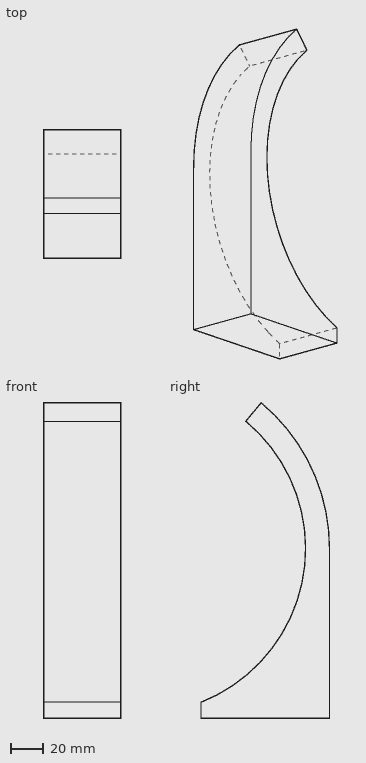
import cadquery as cq
import math

width = 48.0
foot_depth = 80.0
overall_height = 196.19
foot_lip_height = 10.0
wall_thickness = 15.0
inner_radius = 102.75

outer_radius = inner_radius + wall_thickness
back_y = foot_depth / 2
front_y = -foot_depth / 2
centre_y = back_y - outer_radius
centre_z = foot_lip_height + math.sqrt(inner_radius**2 - (front_y - centre_y) ** 2)

tip_angle = math.asin((overall_height - centre_z) / outer_radius)
foot_angle = math.asin((foot_lip_height - centre_z) / inner_radius)


def arc_point(radius, angle):
    """Point (Y, Z) at an angle in radians on an arc about the shared centre."""
    return (
        centre_y + radius * math.cos(angle),
        centre_z + radius * math.sin(angle),
    )


def make_cradle_bracket():
    """Side profile in the YZ plane, extruded evenly about X = 0."""
    cradle_middle = arc_point(inner_radius, (tip_angle + foot_angle) / 2)
    profile = (
        cq.Workplane("YZ")
        .moveTo(front_y, 0)
        .lineTo(back_y, 0)
        .lineTo(back_y, centre_z)
        .threePointArc(arc_point(outer_radius, tip_angle / 2), arc_point(outer_radius, tip_angle))
        .lineTo(*arc_point(inner_radius, tip_angle))
        .threePointArc(cradle_middle, (front_y, foot_lip_height))
        .close()
    )
    return profile.extrude(width / 2, both=True)


result = make_cradle_bracket()